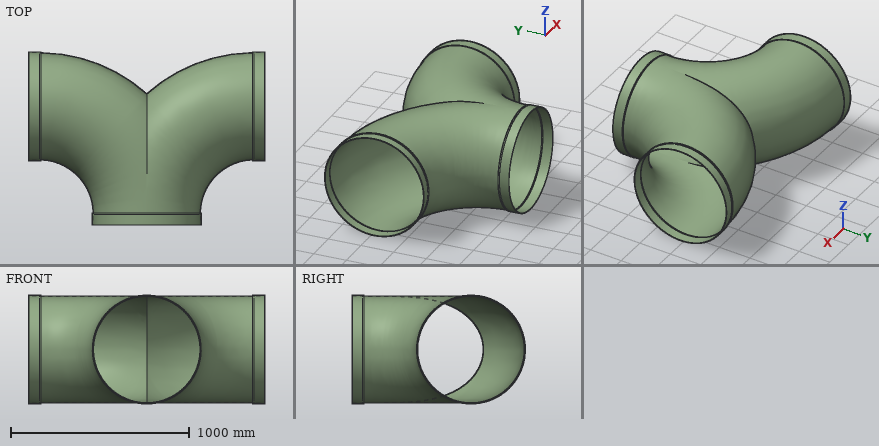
import cadquery as cq

overall_length = 1320.0
overall_depth = 970.0
pipe_outer_diameter = 600.0
pipe_inner_diameter = 595.0
collar_outer_diameter = 610.0
collar_length = 67.0
pipe_end_depth = 60.0

outlet_x = overall_length / 2
outlet_y = overall_depth - collar_outer_diameter / 2
bend_radius = outlet_x - pipe_end_depth
bend_start_y = outlet_y - bend_radius
inlet_straight_length = bend_start_y - pipe_end_depth

mouths = [
    ((0, 0, 0), (0, 1, 0)),
    ((-outlet_x, outlet_y, 0), (1, 0, 0)),
    ((outlet_x, outlet_y, 0), (-1, 0, 0)),
]


def elbow(diameter):
    """Solid quarter bend with the short straight that leads into it from the inlet."""
    bend_start = cq.Workplane("XZ", origin=(0, bend_start_y, 0))
    straight = bend_start.circle(diameter / 2).extrude(inlet_straight_length)
    bend = bend_start.circle(diameter / 2).revolve(90, (bend_radius, 0, 0), (bend_radius, -1, 0))
    return bend.union(straight)


def trimmed_elbow(diameter):
    """Elbow cut off at the YZ plane, where it meets its mirror image."""
    size = 2 * overall_length
    keep = cq.Workplane("XY").box(size, size, size).translate((size / 2, 0, 0))
    return elbow(diameter).intersect(keep)


def mouth_cylinder(mouth, inward, diameter, length):
    """Cylinder running inward from a mouth."""
    plane = cq.Plane(mouth, xDir=(0, 0, 1), normal=inward)
    return cq.Workplane(plane).circle(diameter / 2).extrude(length)


def both_sides(half):
    """Half joined with its mirror image across the YZ plane."""
    return half.union(half.mirror("YZ"))


result = both_sides(trimmed_elbow(pipe_outer_diameter))
for mouth, inward in mouths:
    result = result.union(mouth_cylinder(mouth, inward, collar_outer_diameter, collar_length))
result = result.cut(both_sides(trimmed_elbow(pipe_inner_diameter)))

for mouth, inward in mouths:
    result = result.cut(mouth_cylinder(mouth, inward, pipe_outer_diameter, pipe_end_depth))